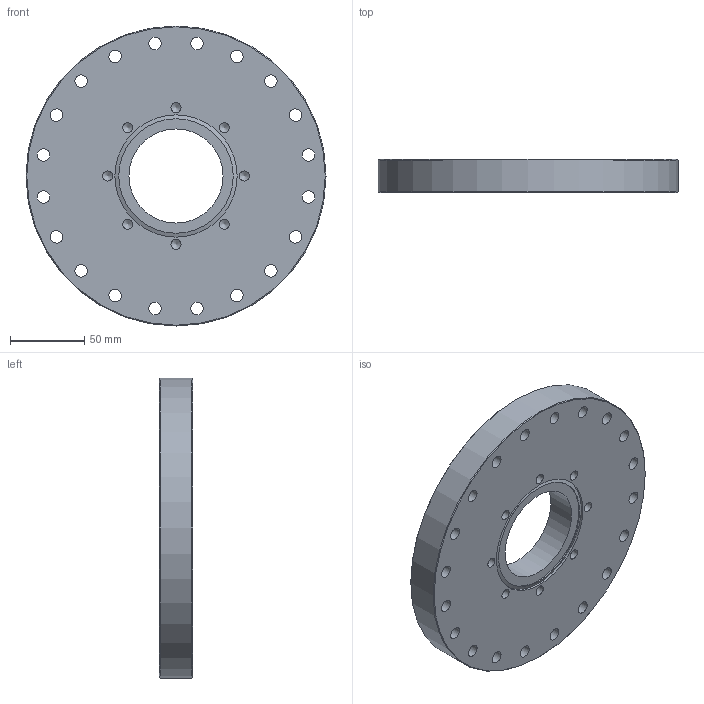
import cadquery as cq
import math

outer_diameter = 202.4
thickness = 22.3
rim_chamfer = 0.5
bore_diameter = 63.5

front_recess_diameter = 82.5
back_recess_diameter = 171.4
gasket_land_width = 2.65
knife_tip_depth = 0.6
recess_depth = 1.6
floor_depth = 1.3

bolt_count = 20
bolt_circle_diameter = 181.0
bolt_hole_diameter = 8.4

tap_count = 8
tap_circle_diameter = 92.2
tap_hole_diameter = 6.8
tap_hole_depth = 16.0
drill_point_angle = 118.0

front_y = -thickness / 2
back_y = thickness / 2


def revolve_about_y(profile):
    """Revolve (radius, y) points a full turn about the Y axis."""
    points = [(y, radius) for radius, y in profile]
    return cq.Workplane("YZ").polyline(points).close().revolve(360, (0, 0, 0), (1, 0, 0))


def make_disc():
    """Bored disc with a chamfered rim."""
    outer_radius = outer_diameter / 2
    bore_radius = bore_diameter / 2
    profile = [
        (bore_radius, front_y),
        (outer_radius - rim_chamfer, front_y),
        (outer_radius, front_y + rim_chamfer),
        (outer_radius, back_y - rim_chamfer),
        (outer_radius - rim_chamfer, back_y),
        (bore_radius, back_y),
    ]
    return revolve_about_y(profile)


def seal_recess(recess_diameter, face_y, inward):
    """Stepped recess that leaves a knife edge; inward is +1 or -1 along Y, into the disc."""
    recess_radius = recess_diameter / 2
    knife_radius = recess_radius - gasket_land_width
    profile = [
        (0, face_y),
        (recess_radius, face_y),
        (recess_radius, face_y + inward * recess_depth),
        (knife_radius, face_y + inward * knife_tip_depth),
        (knife_radius, face_y + inward * floor_depth),
        (0, face_y + inward * floor_depth),
    ]
    return revolve_about_y(profile)


def around_axis(tool, radius, count, start_angle):
    """Copies of a tool lying on the Y axis, evenly spaced on a circle."""
    placed = tool.translate((radius, 0, 0))
    tools = cq.Workplane("XY")
    for index in range(count):
        angle = start_angle + index * 360 / count
        tools = tools.add(placed.rotate((0, 0, 0), (0, 1, 0), angle))
    return tools.combine()


def bolt_holes():
    """Through holes straddling the X and Z axes."""
    radius = bolt_hole_diameter / 2
    tool = revolve_about_y([(0, front_y), (radius, front_y), (radius, back_y), (0, back_y)])
    return around_axis(tool, bolt_circle_diameter / 2, bolt_count, 180 / bolt_count)


def tap_holes():
    """Blind holes with a conical drill point, the first on the X axis."""
    radius = tap_hole_diameter / 2
    shoulder_y = front_y + tap_hole_depth
    point_y = shoulder_y + radius / math.tan(math.radians(drill_point_angle / 2))
    tool = revolve_about_y([(0, front_y), (radius, front_y), (radius, shoulder_y), (0, point_y)])
    return around_axis(tool, tap_circle_diameter / 2, tap_count, 0)


result = (
    make_disc()
    .cut(seal_recess(front_recess_diameter, front_y, 1))
    .cut(seal_recess(back_recess_diameter, back_y, -1))
    .cut(bolt_holes())
    .cut(tap_holes())
)